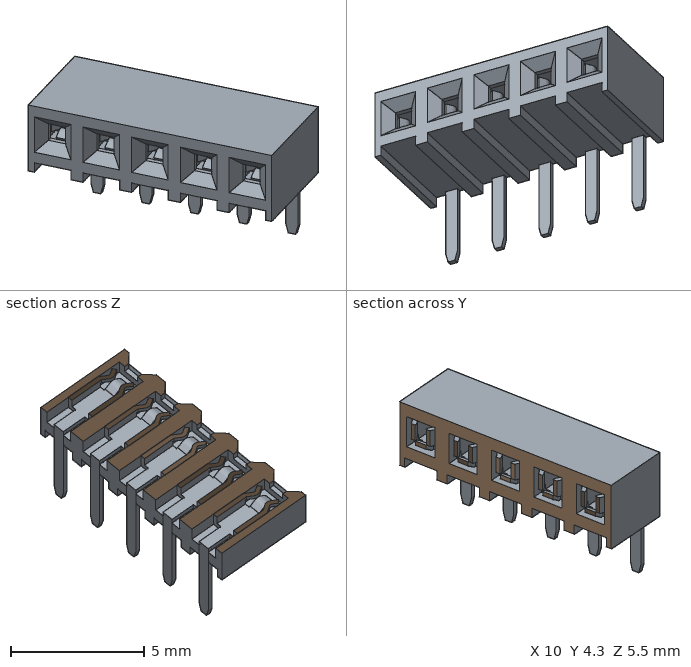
import cadquery as cq
import math


positions = 5
pitch = 2.0

length = positions * pitch
depth = 4.3
height = 2.8
foot_height = 0.4
foot_gap = 1.5
axis_z = (height + foot_height) / 2

funnel_size = 1.5
funnel_depth = 0.4
mouth_size = 0.7
mouth_length = 0.2
cavity_size = 1.3
cavity_start = funnel_depth + mouth_length

thickness = 0.2
strip_width = 0.5
base_outer = cavity_size / 2
base_inner = base_outer - thickness
base_start = 1.75
base_end = 3.2
side_top = base_inner

tine_start = 0.9
throat_offset = 0.25
tine_slope = math.radians(33)
bend_radius = 0.3

total_height = 5.5
tip_z = height - total_height
tip_width = 0.3
tip_length = 0.37

socket_centres = [(i - (positions - 1) / 2) * pitch for i in range(positions)]


def box(x_range, y_range, z_range):
    """Axis-aligned block between the given limits."""
    size = [high - low for low, high in (x_range, y_range, z_range)]
    corner = (x_range[0], y_range[0], z_range[0])
    return cq.Workplane("XY").box(*size, centered=False).translate(corner)


def square_bar(size, start, end):
    """Square bar along Y, centred on the socket axis."""
    half = size / 2
    return box((-half, half), (start, end), (axis_z - half, axis_z + half))


def tail_slot():
    """Notch through the floor at the rear face that the solder tail fits."""
    half = strip_width / 2
    return box((-half, half), (depth - thickness, depth), (0, axis_z))


def funnel():
    """Pyramidal lead-in narrowing from the mating face to the mouth."""
    return (
        cq.Workplane("XZ", origin=(0, 0, axis_z))
        .rect(funnel_size, funnel_size)
        .workplane(offset=-funnel_depth)
        .rect(mouth_size, mouth_size)
        .loft(ruled=True)
    )


def make_housing():
    body = box((-length / 2, length / 2), (0, depth), (0, height))
    half_gap = foot_gap / 2
    cutters = [
        box((-half_gap, half_gap), (0, depth), (0, foot_height)),
        funnel(),
        square_bar(mouth_size, funnel_depth, cavity_start),
        square_bar(cavity_size, cavity_start, depth),
        tail_slot(),
    ]
    for x in socket_centres:
        for cutter in cutters:
            body = body.cut(cutter.translate((x, 0, 0)))
    return body


def tine(x_low, x_high):
    """Spring tine below the socket axis: sloped lead-in, round throat, sloped return."""
    sin_slope = math.sin(tine_slope)
    cos_slope = math.cos(tine_slope)
    tan_slope = math.tan(tine_slope)

    bend_offset = throat_offset + bend_radius
    outer_radius = bend_radius - thickness
    tangent_offset = bend_offset - bend_radius * cos_slope
    lead_end = tine_start + (base_inner - tangent_offset) / tan_slope
    bend_y = lead_end + bend_radius * sin_slope
    return_start = bend_y + bend_radius * sin_slope
    return_end = return_start + (base_inner - tangent_offset) / tan_slope
    miter = thickness * math.tan(tine_slope / 2)

    outer_tangent_offset = bend_offset - outer_radius * cos_slope
    outer_lead_end = bend_y - outer_radius * sin_slope
    outer_return_start = bend_y + outer_radius * sin_slope

    profile = (
        cq.Workplane("YZ", origin=(x_low, 0, axis_z))
        .moveTo(tine_start, -base_inner)
        .lineTo(lead_end, -tangent_offset)
        .threePointArc((bend_y, -throat_offset), (return_start, -tangent_offset))
        .lineTo(return_end, -base_inner)
        .lineTo(base_end, -base_inner)
        .lineTo(base_end, -base_outer)
        .lineTo(return_end - miter, -base_outer)
        .lineTo(outer_return_start, -outer_tangent_offset)
        .threePointArc((bend_y, outer_radius - bend_offset), (outer_lead_end, -outer_tangent_offset))
        .lineTo(tine_start + thickness * sin_slope, -base_inner - thickness * cos_slope)
        .close()
    )
    return profile.extrude(x_high - x_low)


def contact_base():
    """U-shaped channel that joins the three tines."""
    y_range = (base_start, base_end)
    top = axis_z + side_top
    outer = box((-base_outer, base_outer), y_range, (axis_z - base_outer, top))
    inner = box((-base_inner, base_inner), y_range, (axis_z - base_inner, top))
    return outer.cut(inner)


def solder_tail():
    """Strip running to the rear face and down to a tapered tip."""
    half = strip_width / 2
    half_tip = tip_width / 2
    floor = axis_z - base_outer
    strip = box((-half, half), (base_end, depth), (floor, floor + thickness))
    taper_z = tip_z + tip_length
    leg = (
        cq.Workplane("XZ", origin=(0, depth, 0))
        .polyline([
            (-half, floor), (-half, taper_z), (-half_tip, tip_z),
            (half_tip, tip_z), (half, taper_z), (half, floor),
        ])
        .close()
        .extrude(thickness)
    )
    return strip.union(leg)


def make_contact():
    half = strip_width / 2
    lower_tine = tine(-half, half)
    axis_start = (0, 0, axis_z)
    axis_end = (0, 1, axis_z)
    right_tine = tine(-half, side_top).rotate(axis_start, axis_end, -90)
    left_tine = right_tine.mirror("YZ")
    return contact_base().union(lower_tine).union(right_tine).union(left_tine).union(solder_tail())


housing = make_housing()
contact = make_contact()
contacts = [contact.translate((x, 0, 0)) for x in socket_centres]

result = cq.Compound.makeCompound([housing.solids().val(), *[c.solids().val() for c in contacts]])